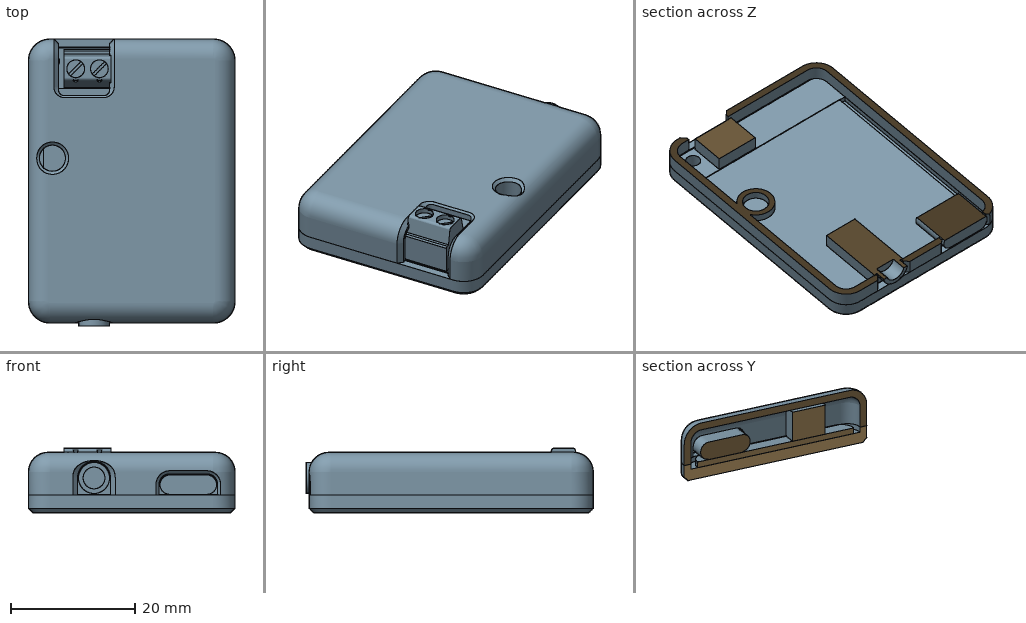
import cadquery as cq
housing_width = 33.26
housing_length = 45.72
housing_height = 9.77
corner_radius = 3.5
top_edge_radius = 3.2
bottom_bevel = 0.75
split_height = 2.9
wall = 1.3
left = -housing_width / 2
right = housing_width / 2
front = -housing_length / 2
back = housing_length / 2

board_thickness = 1.0
board_top = 3.0
board_bottom = board_top - board_thickness
board_side_inset = 2.45
board_back = back - 8.0
platform_gap = 0.15
screw_hole_diameter = 2.4
screw_hole_x = left + 3.78
screw_hole_y = back - 3.61

terminal_x = left + 9.52
terminal_pitch = 3.81
terminal_width = 2 * terminal_pitch
terminal_top = 10.44
terminal_back = back - 1.73
terminal_ledge_back = back - 1.93
terminal_ledge_front = back - 2.41
terminal_ledge_height = 7.6
terminal_ledge_drop = 0.3
terminal_shoulder_back = back - 2.89
terminal_shoulder_front = back - 6.72
terminal_shoulder_height = 10.15
terminal_front = back - 7.84
terminal_slope_foot = 6.0
terminal_edge_width = 0.48
terminal_edge_radius = 0.5
screw_y = (terminal_shoulder_back + terminal_shoulder_front) / 2
screw_well_diameter = 2.85
screw_well_depth = 0.8
driver_slot_width = 0.45
driver_slot_depth = 0.8
driver_slot_angle = 45
test_point_diameter = 0.8
test_point_depth = 1.6

opening_left = left + 4.85
opening_right = left + 13.07
opening_bevel = 0.75
opening_corner_y = back - 7.68
opening_front = back - 9.12
opening_front_bevel = 0.32
opening_outer_radius = 1.7
opening_inner_radius = 0.9

access_x = left + 3.87
access_y = back - 19.19
access_diameter = 4.2
access_bevel = 0.5
access_tube_wall = 1.0
access_tube_bottom = 4.0

jack_x = left + 10.56
jack_z = 5.63
jack_barrel_diameter = 5.0
jack_bore_diameter = 3.5
jack_bore_depth = 2.6
jack_protrusion = 0.48
jack_body_width = 6.0
jack_body_length = 12.0
jack_notch_radius = 2.65
jack_notch_bevel = 0.77
jack_notch_depth = wall + top_edge_radius

usb_x = left + 25.73
usb_width = 9.1
usb_height = 3.1
usb_length = 7.0
usb_recess = 0.1
usb_z = board_top + usb_height / 2
usb_notch_radius = 1.75
usb_notch_straight = 2 * 2.96
usb_notch_bevel = 0.5
usb_notch_depth = wall + corner_radius

margin = 0.01


def box(x0, x1, y0, y1, z0, z1):
    return cq.Workplane("XY").box(x1 - x0, y1 - y0, z1 - z0, centered=False).translate((x0, y0, z0))


def rounded_block(inset, z0, z1):
    block = box(left + inset, right - inset, front + inset, back - inset, z0, z1)
    return block.edges("|Z").fillet(corner_radius - inset)


def cylinder_z(x, y, diameter, z0, z1):
    return cq.Workplane("XY", origin=(x, y, z0)).circle(diameter / 2).extrude(z1 - z0)


def cylinder_y(x, z, diameter, y0, y1):
    return cq.Workplane("XZ", origin=(x, y0, z)).circle(diameter / 2).extrude(y0 - y1)


def cone(start, direction, start_radius, end_radius, length):
    return cq.Workplane(cq.Solid.makeCone(start_radius, end_radius, length, start, direction))


def edges_in_box(solid, corner_a, corner_b):
    """Edges whose middle lies between two opposite corners."""
    return solid.edges(cq.selectors.BoxSelector(corner_a, corner_b))


def make_base():
    base = rounded_block(0, 0, split_height).faces("<Z").edges().chamfer(bottom_bevel)
    base = base.cut(rounded_block(wall, board_bottom, split_height))
    inner = wall + platform_gap
    platform = box(left + wall, right - wall, board_back, back - inner, board_bottom, split_height)
    base = base.union(platform.intersect(rounded_block(wall, board_bottom, split_height)))
    return base.cut(cylinder_z(screw_hole_x, screw_hole_y, screw_hole_diameter, 0, split_height))


def make_board():
    inset = board_side_inset
    board = box(left + inset, right - inset, front + wall, board_back, board_bottom, board_top)
    return board.edges("|Z and <Y").fillet(corner_radius - wall)


def cut_opening_sides(cover):
    """Straight part of the slot, open to the back, with a bevel that follows the rounded cover."""
    cover = cover.cut(box(opening_left, opening_right, opening_corner_y, back, split_height, housing_height))
    for x in (opening_left, opening_right):
        edges = edges_in_box(
            cover,
            (x - margin, opening_corner_y + margin, split_height + margin),
            (x + margin, back + margin, housing_height + margin))
        cover = edges.chamfer(opening_bevel)
    return cover


def opening_end_outline(x0, x1, y0, radius, z):
    """U-shaped outline of the front end of the slot."""
    return (
        cq.Workplane("XY", origin=(0, 0, z))
        .moveTo(x0, opening_corner_y)
        .lineTo(x0, y0 + radius)
        .radiusArc((x0 + radius, y0), -radius)
        .lineTo(x1 - radius, y0)
        .radiusArc((x1, y0 + radius), -radius)
        .lineTo(x1, opening_corner_y)
        .close()
    )


def opening_front_end():
    """Front end of the slot: its wall cuts away the lower part of the bevel there."""
    slot = opening_end_outline(opening_left, opening_right, opening_front, opening_inner_radius, split_height)
    slot = slot.extrude(housing_height - split_height)
    outer_front = opening_front - opening_front_bevel
    low = opening_end_outline(
        opening_left, opening_right, outer_front + opening_bevel,
        opening_outer_radius - opening_bevel, housing_height - opening_bevel)
    high = opening_end_outline(
        opening_left - opening_bevel, opening_right + opening_bevel, outer_front,
        opening_outer_radius, housing_height)
    return slot.union(cq.Workplane(cq.Solid.makeLoft([low.val(), high.val()], True)))


def cut_access_hole(cover):
    cover = cover.cut(cylinder_z(access_x, access_y, access_diameter, split_height, housing_height))
    reach = access_diameter / 2 + margin
    rim = edges_in_box(
        cover,
        (access_x - reach, access_y - reach, split_height + margin),
        (access_x + reach, access_y + reach, housing_height + margin)).edges("not |Z")
    return rim.chamfer(access_bevel)


def usb_notch():
    half = usb_notch_straight / 2
    side = half + usb_notch_radius
    return (
        cq.Workplane("XZ", origin=(usb_x, front, 0))
        .moveTo(-side, split_height)
        .lineTo(-side, usb_z)
        .radiusArc((-half, usb_z + usb_notch_radius), usb_notch_radius)
        .lineTo(half, usb_z + usb_notch_radius)
        .radiusArc((side, usb_z), usb_notch_radius)
        .lineTo(side, split_height)
        .close()
        .extrude(-usb_notch_depth)
    )


def cut_usb_notch(cover):
    cover = cover.cut(usb_notch())
    reach = usb_notch_straight / 2 + usb_notch_radius + margin
    rim = edges_in_box(
        cover,
        (usb_x - reach, front - margin, split_height + margin),
        (usb_x + reach, front + wall, usb_z + usb_notch_radius + margin)).edges("not |Y")
    return rim.chamfer(usb_notch_bevel)


def jack_notch():
    """Arched notch with a bevel at its mouth."""
    inner = jack_notch_radius
    outer = inner + jack_notch_bevel
    depth = jack_notch_depth
    bore = cylinder_y(jack_x, jack_z, 2 * inner, front, front + depth)
    mouth = cone(cq.Vector(jack_x, front, jack_z), cq.Vector(0, 1, 0), outer, inner, jack_notch_bevel)
    throat = (
        cq.Workplane("XY", origin=(jack_x, front, split_height))
        .moveTo(-outer, 0)
        .lineTo(outer, 0)
        .lineTo(inner, jack_notch_bevel)
        .lineTo(inner, depth)
        .lineTo(-inner, depth)
        .lineTo(-inner, jack_notch_bevel)
        .close()
        .extrude(jack_z - split_height)
    )
    return bore.union(mouth).union(throat)


def cover_cavity():
    """Hollow of the cover, leaving a tube around the access hole."""
    cavity = rounded_block(wall, split_height, housing_height - wall)
    cavity = cavity.faces(">Z").edges().fillet(top_edge_radius - wall)
    tube_diameter = access_diameter + 2 * access_tube_wall
    return cavity.cut(cylinder_z(access_x, access_y, tube_diameter, access_tube_bottom, housing_height))


def make_cover():
    cover = rounded_block(0, split_height, housing_height).faces(">Z").edges().fillet(top_edge_radius)
    cover = cut_opening_sides(cover).cut(opening_front_end())
    cover = cut_access_hole(cover)
    cover = cut_usb_notch(cover).cut(jack_notch())
    return cover.cut(cover_cavity())


def make_terminal():
    profile = [
        (terminal_back, split_height),
        (terminal_back, terminal_ledge_height - terminal_ledge_drop),
        (terminal_ledge_back, terminal_ledge_height),
        (terminal_ledge_front, terminal_ledge_height),
        (terminal_shoulder_back, terminal_shoulder_height),
    ]
    body = (cq.Workplane("YZ", origin=(terminal_x - terminal_width / 2, 0, 0)).polyline(profile)
            .radiusArc((terminal_shoulder_back - terminal_edge_width, terminal_top), -terminal_edge_radius)
            .lineTo(terminal_shoulder_front + terminal_edge_width, terminal_top)
            .radiusArc((terminal_shoulder_front, terminal_shoulder_height), -terminal_edge_radius)
            .lineTo(terminal_front, terminal_slope_foot)
            .lineTo(terminal_front, split_height).close().extrude(terminal_width))
    well_floor = terminal_top - screw_well_depth
    for side in (-1, 1):
        x = terminal_x + side * terminal_pitch / 2
        body = body.cut(cylinder_z(x, screw_y, screw_well_diameter, well_floor, terminal_top))
        slot = (cq.Workplane("XY").box(screw_well_diameter, driver_slot_width, driver_slot_depth)
                .rotate((0, 0, 0), (0, 0, 1), driver_slot_angle)
                .translate((x, screw_y, well_floor - driver_slot_depth / 2)))
        within = cylinder_z(x, screw_y, screw_well_diameter, well_floor - driver_slot_depth, well_floor)
        body = body.cut(slot.intersect(within))
        top = cq.Vector(x, terminal_shoulder_front, terminal_shoulder_height)
        body = body.cut(cone(top, cq.Vector(0, 0, -1), test_point_diameter / 2, 0, test_point_depth))
    return body


def make_jack():
    body_front = front + wall
    half = jack_body_width / 2
    top = jack_z + jack_barrel_diameter / 2
    body = box(jack_x - half, jack_x + half, body_front, body_front + jack_body_length, board_top, top)
    tip = front - jack_protrusion
    body = body.union(cylinder_y(jack_x, jack_z, jack_barrel_diameter, tip, body_front))
    return body.cut(cylinder_y(jack_x, jack_z, jack_bore_diameter, tip, tip + jack_bore_depth))


def make_usb():
    return (cq.Workplane("XZ", origin=(usb_x, front + usb_recess, usb_z))
            .slot2D(usb_width, usb_height).extrude(-usb_length))


base = make_base()
board = make_board()
terminal = make_terminal()
jack = make_jack()
usb = make_usb()
cover = make_cover().cut(terminal).cut(jack)

bodies = [base, board, cover, terminal, jack, usb]
result = cq.Compound.makeCompound([body.solids().val() for body in bodies])